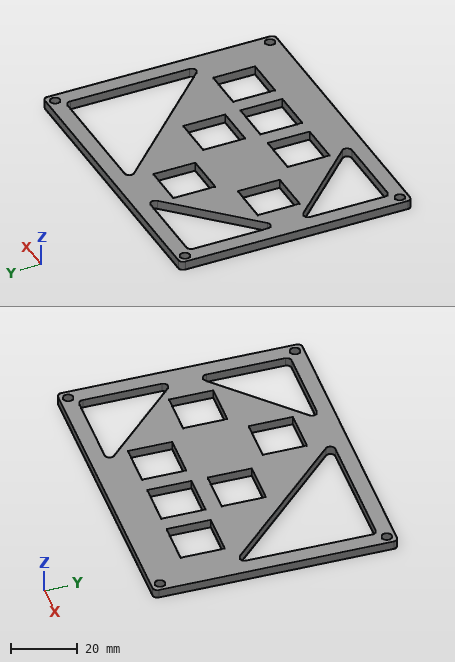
import cadquery as cq

length = 96.2
width = 77.2
thickness = 3.0
corner_radius = 1.5

hole_diameter = 3.2
hole_inset = 2.8

key_size = 14.0
key_pitch = 19.05
first_key_x = -28.4
first_key_y = -19.2
key_cells = [(1, 0), (2, 0), (3, 0), (0, 1), (2, 1), (1, 2)]

window_margin = 5.1
small_window_leg = 30.1
large_window_leg = 45.0
window_radius = 1.5


def triangular_window(side_x, side_y, leg):
    """Rounded triangular cutter at the plate corner given by the signs side_x, side_y."""
    corner_x = side_x * (length / 2 - window_margin)
    corner_y = side_y * (width / 2 - window_margin)
    return (
        cq.Workplane("XY")
        .moveTo(corner_x, corner_y)
        .lineTo(corner_x - side_x * leg, corner_y)
        .lineTo(corner_x, corner_y - side_y * leg)
        .close()
        .extrude(thickness)
        .edges("|Z")
        .fillet(window_radius)
    )


plate = (
    cq.Workplane("XY")
    .box(length, width, thickness, centered=(True, True, False))
    .edges("|Z")
    .fillet(corner_radius)
)

screw_holes = (
    cq.Workplane("XY")
    .rect(length - 2 * hole_inset, width - 2 * hole_inset, forConstruction=True)
    .vertices()
    .circle(hole_diameter / 2)
    .extrude(thickness)
)

key_centers = [
    (first_key_x + column * key_pitch, first_key_y + row * key_pitch)
    for column, row in key_cells
]
key_openings = cq.Workplane("XY").pushPoints(key_centers).rect(key_size, key_size).extrude(thickness)

result = plate.cut(screw_holes).cut(key_openings)
for side_x, side_y, leg in [
    (-1, 1, small_window_leg),
    (-1, -1, small_window_leg),
    (1, 1, large_window_leg),
]:
    result = result.cut(triangular_window(side_x, side_y, leg))